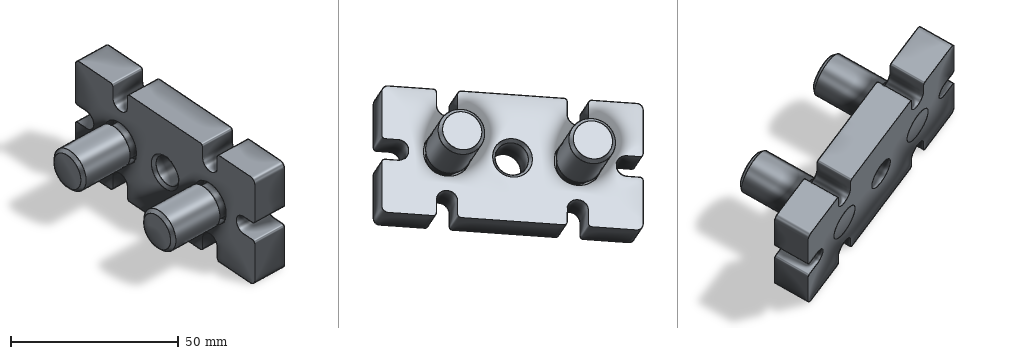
import cadquery as cq

plate_length = 80.0
plate_height = 40.0
plate_thickness = 12.0
corner_radius = 2.0

slot_width = 6.5
slot_depth = 8.2
slot_mouth_radius = 1.0
slot_offset = plate_length / 4
pick_margin = 0.1

center_hole_diameter = 10.2
center_sink_diameter = 12.2

pin_offset = slot_offset
pin_positions = (-pin_offset, pin_offset)
pin_diameter = 14.2
pin_end_chamfer = 1.1
neck_diameter = 11.5
neck_length = 2.4
pin_reach = 21.3

recess_diameter = 14.5
recess_depth = 3.7


def edge_slot(x, z, angle):
    """Slot cutter centred on its mouth at (x, z) on the plate edge, turned by angle in the XZ plane."""
    cutter = cq.Workplane("XZ").slot2D(2 * slot_depth, slot_width).extrude(-plate_thickness)
    return cutter.rotate((0, 0, 0), (0, 1, 0), angle).translate((x, 0, z))


def round_edge(plate, x, z):
    """Round the one front-to-back plate edge at (x, z)."""
    edge_box = cq.selectors.BoxSelector(
        (x - pick_margin, -pick_margin, z - pick_margin),
        (x + pick_margin, plate_thickness + pick_margin, z + pick_margin),
    )
    return plate.edges("|Y").edges(edge_box).fillet(slot_mouth_radius)


def hole_cutter(x, diameter, depth):
    """Round cutter that enters the front face at x and runs back by depth."""
    return cq.Workplane("XZ", origin=(x, 0, 0)).circle(diameter / 2).extrude(-depth)


def countersink_cutter(hole_diameter, sink_diameter):
    """45 degree cone at the front face, centred on the plate."""
    depth = (sink_diameter - hole_diameter) / 2
    return (
        cq.Workplane("XZ")
        .circle(sink_diameter / 2)
        .workplane(offset=-depth)
        .circle(hole_diameter / 2)
        .loft(ruled=True)
    )


def cut_slots(plate):
    """Cut the two end slots and the four long-side slots, and round both corners of every mouth."""
    half_length = plate_length / 2
    half_height = plate_height / 2
    half_width = slot_width / 2
    for side in (-1, 1):
        end_x = side * half_length
        edge_z = side * half_height
        plate = plate.cut(edge_slot(end_x, 0, 0))
        for corner in (-half_width, half_width):
            plate = round_edge(plate, end_x, corner)
        for x in (-slot_offset, slot_offset):
            plate = plate.cut(edge_slot(x, edge_z, 90))
            for corner in (-half_width, half_width):
                plate = round_edge(plate, x + corner, edge_z)
    return plate


def make_plate():
    """Slotted plate with a countersunk centre hole and a recessed hole for each pin."""
    plate = (
        cq.Workplane("XZ")
        .rect(plate_length, plate_height)
        .extrude(-plate_thickness)
        .edges("|Y")
        .fillet(corner_radius)
    )
    plate = cut_slots(plate)
    plate = plate.cut(hole_cutter(0, center_hole_diameter, plate_thickness))
    plate = plate.cut(countersink_cutter(center_hole_diameter, center_sink_diameter))
    for x in pin_positions:
        plate = plate.cut(hole_cutter(x, neck_diameter, plate_thickness))
        plate = plate.cut(hole_cutter(x, recess_diameter, recess_depth))
    return plate


def make_pin(x):
    """Stepped pin: a neck that fills the plate hole and a thicker head with a chamfered end."""
    head_length = pin_reach - neck_length
    neck = cq.Workplane("XZ", origin=(x, plate_thickness, 0)).circle(neck_diameter / 2)
    neck = neck.extrude(plate_thickness + neck_length)
    head = cq.Workplane("XZ", origin=(x, -neck_length, 0)).circle(pin_diameter / 2)
    head = head.extrude(head_length).faces("<Y").chamfer(pin_end_chamfer)
    return neck.union(head)


plate = make_plate()
pins = [make_pin(x) for x in pin_positions]

result = cq.Compound.makeCompound([plate.val(), *[pin.val() for pin in pins]])